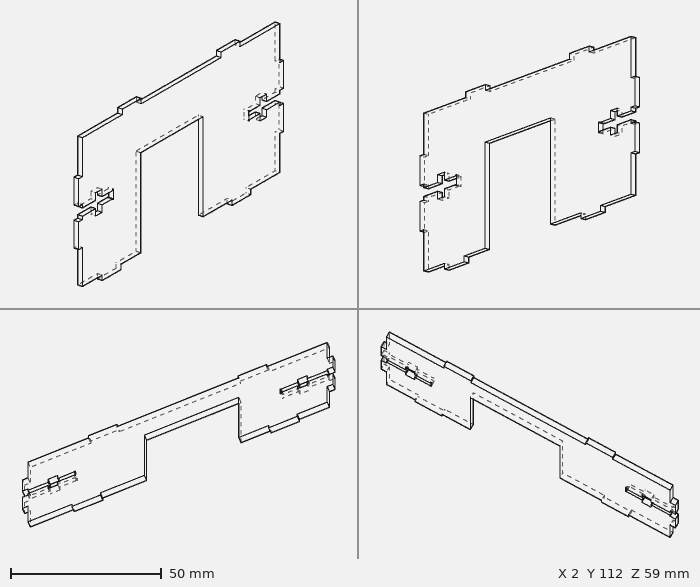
import cadquery as cq

thickness = 2.0
overall_width = 112.0
overall_height = 59.0

tab_depth = 2.0
tab_length = 10.3
top_tab_offset = 27.0
side_tab_offset = 8.0

panel_half_width = overall_width / 2 - tab_depth
panel_half_height = overall_height / 2 - tab_depth

opening_width = 34.0
opening_center = -5.0
bridge_height = 18.0

slot_depth = 17.0
slot_width = 3.0
nut_depth = 7.3
nut_thickness = 3.5
nut_width = 8.5
relief_size = 0.3


def block(y_start, y_end, z_start, z_end):
    """Rectangular block through the full sheet thickness."""
    return cq.Workplane("XY").box(thickness, y_end - y_start, z_end - z_start).translate(
        (0, (y_start + y_end) / 2, (z_start + z_end) / 2)
    )


def centered_block(y_center, z_center, y_size, z_size):
    """Block of the given size about a point in the panel plane."""
    return block(
        y_center - y_size / 2, y_center + y_size / 2,
        z_center - z_size / 2, z_center + z_size / 2,
    )


def t_slot():
    """Slot cutter for the +Y edge: screw slot, nut pocket and end corner reliefs."""
    slot_end = panel_half_width - slot_depth
    nut_outer = panel_half_width - nut_depth
    half_relief_span = slot_width / 2 + relief_size
    screw_slot = block(slot_end, panel_half_width, -slot_width / 2, slot_width / 2)
    nut_pocket = block(nut_outer - nut_thickness, nut_outer, -nut_width / 2, nut_width / 2)
    reliefs = block(slot_end, slot_end + relief_size, -half_relief_span, half_relief_span)
    return screw_slot.union(nut_pocket).union(reliefs)


panel = centered_block(0, 0, 2 * panel_half_width, 2 * panel_half_height)
opening_left = opening_center + opening_width / 2
opening_right = opening_center - opening_width / 2
opening_top = panel_half_height - bridge_height
panel = panel.cut(block(opening_right, opening_left, -panel_half_height, opening_top))

top_tab_z = panel_half_height + tab_depth / 2
side_tab_y = panel_half_width + tab_depth / 2
leg_centers = {
    1: (panel_half_width + opening_left) / 2,
    -1: (-panel_half_width + opening_right) / 2,
}
for side in (1, -1):
    panel = panel.union(centered_block(side * top_tab_offset, top_tab_z, tab_length, tab_depth))
    panel = panel.union(centered_block(leg_centers[side], -top_tab_z, tab_length, tab_depth))
    for level in (1, -1):
        panel = panel.union(
            centered_block(side * side_tab_y, level * side_tab_offset, tab_depth, tab_length)
        )

left_slot = t_slot()
result = panel.cut(left_slot).cut(left_slot.mirror("XZ"))